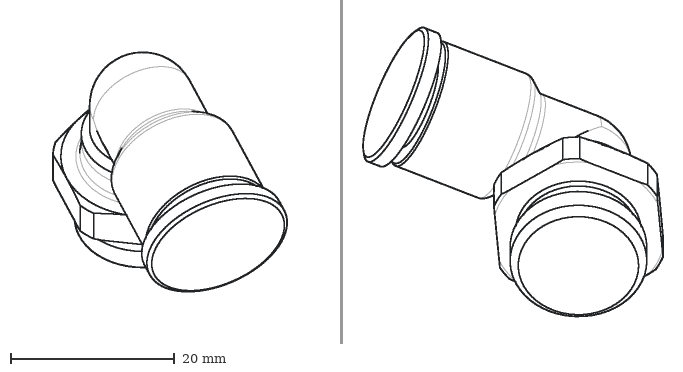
import cadquery as cq
import math

thread_radius = 8.35
stem_neck_radius = 7.35
lead_chamfer = thread_radius - stem_neck_radius
thread_top = 3.9
thread_runout_top = 4.45
stem_neck_top = 6.45
nut_root_radius = 7.7

nut_across_flats = 20.0
nut_corner_radius = 11.0
nut_bottom = 7.0
nut_top = 12.0
nut_top_face_radius = nut_across_flats / 2
nut_top_corner_drop = 0.35
nut_bottom_face_radius = 10.6
nut_bottom_corner_rise = 0.1

collar_fillet = 0.5
collar_base_radius = 7.7
collar_radius = 7.5
collar_taper_top = 14.55
collar_straight_top = 16.05

elbow_radius = 6.5
elbow_axis_z = 21.1
collar_shoulder_top = collar_straight_top + collar_radius - elbow_radius

socket_radius = 8.15
socket_flare_start = 7.6
socket_flare_end = 10.35
socket_flare_angle = 40.0
socket_end = 21.75
socket_end_chamfer = 0.25

button_shank_radius = 5.85
flange_start = 22.95
flange_end = 25.0
flange_half_width_y = 9.22
flange_half_height_z = 8.0
flange_chamfer_length = 0.5
flange_chamfer_depth = 0.33


def make_stem():
    """Thread, neck and the flare that meets the underside of the nut."""
    return (
        cq.Workplane("XZ")
        .moveTo(0, 0)
        .lineTo(thread_radius - lead_chamfer, 0)
        .lineTo(thread_radius, lead_chamfer)
        .lineTo(thread_radius, thread_top)
        .lineTo(stem_neck_radius, thread_runout_top)
        .lineTo(stem_neck_radius, stem_neck_top)
        .lineTo(nut_root_radius, nut_bottom)
        .lineTo(0, nut_bottom)
        .close()
        .revolve(360, (0, 0, 0), (0, 1, 0))
    )


def make_nut():
    """Hexagon trimmed by a turned blank with conical ends."""
    across_corners = nut_across_flats / math.cos(math.radians(30))
    hexagon = (
        cq.Workplane("XY")
        .workplane(offset=nut_bottom)
        .polygon(6, across_corners)
        .extrude(nut_top - nut_bottom)
    )
    blank = (
        cq.Workplane("XZ")
        .moveTo(0, nut_bottom)
        .lineTo(nut_bottom_face_radius, nut_bottom)
        .lineTo(nut_corner_radius, nut_bottom + nut_bottom_corner_rise)
        .lineTo(nut_corner_radius, nut_top - nut_top_corner_drop)
        .lineTo(nut_top_face_radius, nut_top)
        .lineTo(0, nut_top)
        .close()
        .revolve(360, (0, 0, 0), (0, 1, 0))
    )
    return hexagon.intersect(blank)


def make_collar_and_riser():
    """Filleted, tapered collar, its sloped shoulder and the upright elbow leg."""
    return (
        cq.Workplane("XZ")
        .moveTo(0, nut_top)
        .lineTo(collar_base_radius + collar_fillet, nut_top)
        .radiusArc((collar_base_radius, nut_top + collar_fillet), collar_fillet)
        .lineTo(collar_radius, collar_taper_top)
        .lineTo(collar_radius, collar_straight_top)
        .lineTo(elbow_radius, collar_shoulder_top)
        .lineTo(elbow_radius, elbow_axis_z)
        .lineTo(0, elbow_axis_z)
        .close()
        .revolve(360, (0, 0, 0), (0, 1, 0))
    )


def make_elbow_corner():
    return cq.Workplane("XY").sphere(elbow_radius).translate((0, 0, elbow_axis_z))


def make_branch():
    """Horizontal elbow leg, blended flare, socket and button shank."""
    angle = math.radians(socket_flare_angle)
    flare_length = socket_flare_end - socket_flare_start
    flare_rise = socket_radius - elbow_radius
    blend_radius = (flare_length * math.sin(angle) - flare_rise * math.cos(angle)) / (
        2 * (1 - math.cos(angle))
    )
    blend_length = blend_radius * math.sin(angle)
    blend_rise = blend_radius * (1 - math.cos(angle))
    axis_start = (0, elbow_axis_z)
    axis_end = (1, elbow_axis_z)

    def at(x, radius):
        return (x, elbow_axis_z + radius)

    return (
        cq.Workplane("XZ")
        .moveTo(*axis_start)
        .lineTo(*at(0, elbow_radius))
        .lineTo(*at(socket_flare_start, elbow_radius))
        .radiusArc(at(socket_flare_start + blend_length, elbow_radius + blend_rise), -blend_radius)
        .lineTo(*at(socket_flare_end - blend_length, socket_radius - blend_rise))
        .radiusArc(at(socket_flare_end, socket_radius), blend_radius)
        .lineTo(*at(socket_end - socket_end_chamfer, socket_radius))
        .lineTo(*at(socket_end, socket_radius - socket_end_chamfer))
        .lineTo(*at(socket_end, button_shank_radius))
        .lineTo(*at(flange_start, button_shank_radius))
        .lineTo(*at(flange_start, 0))
        .close()
        .revolve(360, axis_start, axis_end)
    )


def make_flange():
    """Oval push flange with a chamfered outer end."""
    return (
        cq.Workplane("YZ", origin=(flange_start, 0, elbow_axis_z))
        .ellipse(flange_half_width_y, flange_half_height_z)
        .extrude(flange_end - flange_start)
        .faces(">X")
        .chamfer(flange_chamfer_depth, flange_chamfer_length)
    )


result = (
    make_stem()
    .union(make_nut())
    .union(make_collar_and_riser())
    .union(make_elbow_corner())
    .union(make_branch())
    .union(make_flange())
)